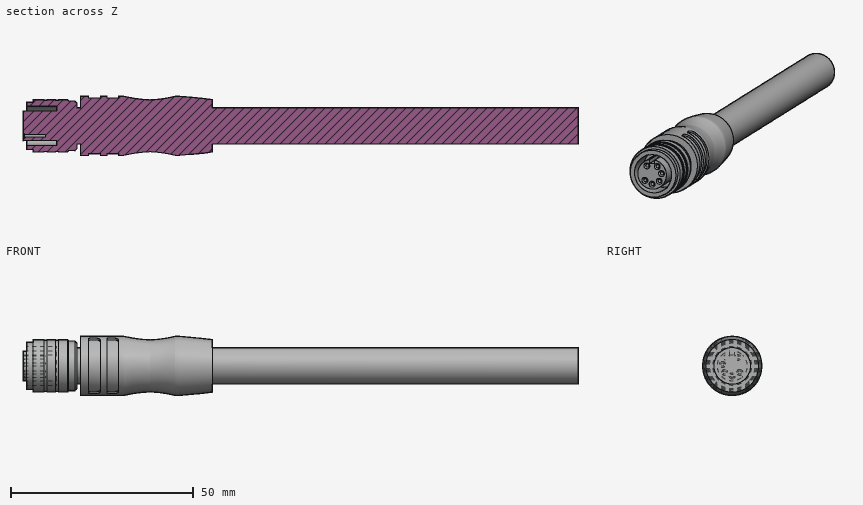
import cadquery as cq
import math

LENGTH = 151.9
CUT_CLEARANCE = 1.5

INSERT_RADIUS = 4.1
NUT_BORE_RADIUS = 5.3
BORE_DEPTH = 9.1
KEYWAY_WIDTH = 1.4
KEYWAY_FLOOR = 3.0
CONTACT_CIRCLE_RADIUS = 2.7
CONTACT_RADIUS = 0.5
CONTACT_CHAMFER = 0.38
CONTACT_DEPTH = 6.1
CONTACT_PITCH_ANGLE = 49.0
CONTACT_STEPS = (-3, -1, 0, 1, 2, 3)

NUT_FRONT = 0.9
NUT_NOSE_RADIUS = 6.5
NUT_COLLAR_RADIUS = 6.8
NUT_RADIUS = 14.5 / 2
NUT_BAND_START = 2.7
NUT_BAND_END = 12.2
NUT_BAND_CHAMFER = 0.3
NUT_BACK = 14.7
NUT_BACK_CHAMFER = 0.6
GROOVE_WIDTH = 0.9
GROOVE_PITCH = 3.2
GROOVE_DEPTH = 0.2
FIRST_GROOVE = 5.6
GROOVE_COUNT = 2

NECK_RADIUS = 5.0
GRIP_START = 15.6
GRIP_RADIUS = 16.3 / 2
GRIP_STRAIGHT_END = 27.5
WAIST_POSITION = 34.8
WAIST_RADIUS = 7.1
WAIST_HOLLOW = 0.18
REAR_BAND_START = 41.6
REAR_BAND_END = 42.7
GRIP_END = 51.8
GRIP_END_RADIUS = 14.5 / 2
TAPER_BULGE = 0.08

CABLE_RADIUS = 5.0

RECESS_WIDTH = 3.2
RECESS_PITCH = 5.0
FIRST_RECESS = 18.0
RECESS_COUNT = 2
RECESS_DEPTH = 0.5
RECESS_EDGE = 2.9
RECESS_FRONT_ROUND = 0.5
RECESS_REAR_ROUND = 1.4


def x_cylinder(radius, start, end):
    return cq.Workplane("YZ", origin=(start, 0, 0)).circle(radius).extrude(end - start)


def x_ring(outer_radius, inner_radius, start, end):
    return x_cylinder(outer_radius, start, end).cut(x_cylinder(inner_radius, start, end))


def countersink(hole_radius, chamfer, start):
    """45 degree cone that breaks the rim of a hole opening at X = start."""
    mouth = cq.Workplane("YZ", origin=(start, 0, 0)).circle(hole_radius + chamfer)
    return mouth.workplane(offset=chamfer).circle(hole_radius).loft()


def coupling_nut():
    profile = (
        cq.Workplane("XY")
        .moveTo(NUT_FRONT, 0)
        .lineTo(NUT_FRONT, NUT_NOSE_RADIUS)
        .lineTo(NUT_BAND_START, NUT_NOSE_RADIUS)
        .lineTo(NUT_BAND_START, NUT_RADIUS)
        .lineTo(NUT_BAND_END, NUT_RADIUS)
        .lineTo(NUT_BAND_END + NUT_BAND_CHAMFER, NUT_COLLAR_RADIUS)
        .lineTo(NUT_BACK - NUT_BACK_CHAMFER, NUT_COLLAR_RADIUS)
        .lineTo(NUT_BACK, NUT_COLLAR_RADIUS - NUT_BACK_CHAMFER)
        .lineTo(NUT_BACK, 0)
        .close()
    )
    nut = profile.revolve(360, (0, 0, 0), (1, 0, 0))
    for index in range(GROOVE_COUNT):
        start = FIRST_GROOVE + index * GROOVE_PITCH
        groove = x_ring(NUT_RADIUS + CUT_CLEARANCE, NUT_RADIUS - GROOVE_DEPTH, start, start + GROOVE_WIDTH)
        nut = nut.cut(groove)
    return nut.cut(x_cylinder(NUT_BORE_RADIUS, NUT_FRONT, BORE_DEPTH))


def socket_insert():
    insert = x_cylinder(INSERT_RADIUS, 0, BORE_DEPTH)
    keyway = cq.Workplane("XY").box(
        BORE_DEPTH, KEYWAY_WIDTH, INSERT_RADIUS, centered=(False, True, False)
    ).translate((0, 0, KEYWAY_FLOOR))
    insert = insert.cut(keyway)
    contact = x_cylinder(CONTACT_RADIUS, 0, CONTACT_DEPTH)
    contact = contact.union(countersink(CONTACT_RADIUS, CONTACT_CHAMFER, 0))
    for step in CONTACT_STEPS:
        angle = math.radians(step * CONTACT_PITCH_ANGLE)
        y = -CONTACT_CIRCLE_RADIUS * math.sin(angle)
        z = -CONTACT_CIRCLE_RADIUS * math.cos(angle)
        insert = insert.cut(contact.translate((0, y, z)))
    return insert


def finger_recess(start, side):
    """Shallow pocket wrapped around one Y side, side being +1 or -1."""
    end = start + RECESS_WIDTH
    outer = GRIP_RADIUS + CUT_CLEARANCE
    outline = (
        cq.Workplane("XY", origin=(0, 0, -outer))
        .moveTo(start, side * outer)
        .lineTo(start, side * (RECESS_EDGE + RECESS_FRONT_ROUND))
        .radiusArc((start + RECESS_FRONT_ROUND, side * RECESS_EDGE), -side * RECESS_FRONT_ROUND)
        .lineTo(end - RECESS_REAR_ROUND, side * RECESS_EDGE)
        .radiusArc((end, side * (RECESS_EDGE + RECESS_REAR_ROUND)), -side * RECESS_REAR_ROUND)
        .lineTo(end, side * outer)
        .close()
    )
    return outline.extrude(2 * outer).intersect(
        x_ring(outer, GRIP_RADIUS - RECESS_DEPTH, start, end)
    )


def grip():
    taper_middle = (
        (REAR_BAND_END + GRIP_END) / 2,
        (GRIP_RADIUS + GRIP_END_RADIUS) / 2 + TAPER_BULGE,
    )
    waist_middle_radius = (GRIP_RADIUS + WAIST_RADIUS) / 2 - WAIST_HOLLOW
    waist_front = ((GRIP_STRAIGHT_END + WAIST_POSITION) / 2, waist_middle_radius)
    waist_rear = ((WAIST_POSITION + REAR_BAND_START) / 2, waist_middle_radius)
    profile = (
        cq.Workplane("XY")
        .moveTo(GRIP_START, 0)
        .lineTo(GRIP_START, GRIP_RADIUS)
        .lineTo(GRIP_STRAIGHT_END, GRIP_RADIUS)
        .threePointArc(waist_front, (WAIST_POSITION, WAIST_RADIUS))
        .threePointArc(waist_rear, (REAR_BAND_START, GRIP_RADIUS))
        .lineTo(REAR_BAND_END, GRIP_RADIUS)
        .threePointArc(taper_middle, (GRIP_END, GRIP_END_RADIUS))
        .lineTo(GRIP_END, 0)
        .close()
    )
    body = profile.revolve(360, (0, 0, 0), (1, 0, 0))
    for index in range(RECESS_COUNT):
        for side in (1, -1):
            body = body.cut(finger_recess(FIRST_RECESS + index * RECESS_PITCH, side))
    return body


neck = x_cylinder(NECK_RADIUS, NUT_BACK, GRIP_START)
cable = x_cylinder(CABLE_RADIUS, GRIP_END, LENGTH)
result = coupling_nut().union(socket_insert()).union(neck).union(grip()).union(cable)